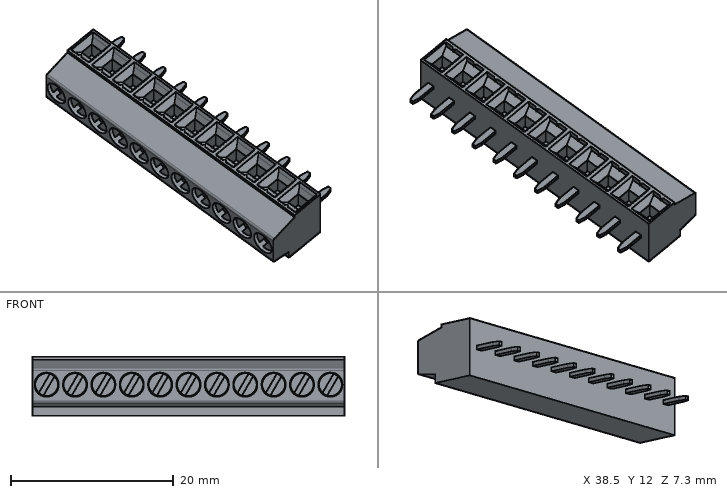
import cadquery as cq

pole_count = 11
length = 38.5
pitch = length / pole_count
body_depth = 8.5
height = 7.3
pole_positions = [(i - (pole_count - 1) / 2) * pitch for i in range(pole_count)]

top_land_depth = 4.65
top_step = 0.4
front_top_z = 5.9
bottom_land_depth = 5.7
bottom_step = 1.1
front_bottom_z = 1.58
front_edge_radius = 0.3

screw_z = 3.85
screw_bore_diameter = 3.0
screw_head_diameter = 2.8
screw_bore_depth = 1.55
screw_head_recess = 0.45
slot_width = 0.65
slot_depth = 0.77
slot_tilt = 30.0

rim_width = 2.93
rim_back_wall = 0.35
rim_front_wall = 0.42
break_depth = 0.45
break_back_inset = 0.27
break_front_inset = 0.15
funnel_depth = 1.15
throat_size = 1.8
throat_back_wall = 1.2
nub_width = 0.5
nub_length = 0.25

pin_width = 0.9
pin_thickness = 0.5
pin_z = 3.8
pin_length = 3.5
pin_root = 0.4
pin_tip_length = 0.92
pin_tip_width = 0.45


def make_body():
    outline = [
        (body_depth, 0),
        (body_depth, height),
        (body_depth - top_land_depth, height),
        (body_depth - top_land_depth, height - top_step),
        (0, front_top_z),
        (0, front_bottom_z),
        (body_depth - bottom_land_depth, bottom_step),
        (body_depth - bottom_land_depth, 0),
    ]
    profile = cq.Workplane("YZ").workplane(offset=-length / 2).polyline(outline).close()
    return profile.extrude(length).faces("<Y").edges("|X").fillet(front_edge_radius)


def frustum(top_z, top, bottom_z, bottom):
    """Loft between two rectangles given as (width, front Y, back Y)."""
    def corners(z, section):
        width, front, back = section
        return [
            cq.Vector(-width / 2, front, z),
            cq.Vector(width / 2, front, z),
            cq.Vector(width / 2, back, z),
            cq.Vector(-width / 2, back, z),
        ]
    wires = [
        cq.Wire.makePolygon(corners(top_z, top), close=True),
        cq.Wire.makePolygon(corners(bottom_z, bottom), close=True),
    ]
    return cq.Workplane(obj=cq.Solid.makeLoft(wires, True))


def make_funnel():
    rim_front = body_depth - top_land_depth + rim_front_wall
    rim_back = body_depth - rim_back_wall
    throat_back = body_depth - throat_back_wall
    throat_front = throat_back - throat_size
    funnel_z = height - funnel_depth
    floor_z = pin_z + pin_thickness / 2

    rim = (rim_width, rim_front, rim_back)
    throat = (throat_size, throat_front, throat_back)
    break_width = rim_width + (throat_size - rim_width) * break_depth / funnel_depth
    break_line = (break_width, rim_front + break_front_inset, rim_back - break_back_inset)
    break_z = height - break_depth
    steep_part = frustum(height, rim, break_z, break_line)
    flatter_part = frustum(break_z, break_line, funnel_z, throat)
    well = frustum(funnel_z, throat, floor_z, throat)
    nub = (
        cq.Workplane("XY").workplane(offset=funnel_z)
        .polyline([(-nub_width / 2, rim_front), (0, rim_front + nub_length), (nub_width / 2, rim_front)])
        .close().extrude(funnel_depth)
    )
    return steep_part.union(flatter_part).union(well).clean().cut(nub)


def make_screw_recess():
    """Tool that leaves a slotted screw head standing inside its bore, set back from the front face."""
    front = cq.Workplane("XZ", origin=(0, 0, screw_z))
    bore = front.circle(screw_bore_diameter / 2).extrude(-screw_bore_depth)
    head = (
        front.workplane(offset=-screw_head_recess).circle(screw_head_diameter / 2)
        .extrude(screw_head_recess - screw_bore_depth)
    )
    slot = (
        front.workplane(offset=-screw_head_recess).rect(slot_width, screw_bore_diameter)
        .extrude(-slot_depth)
        .rotate((0, 0, screw_z), (0, 1, screw_z), slot_tilt)
    )
    return bore.cut(head.cut(slot))


def make_pin():
    tip_y = body_depth + pin_length
    shoulder_y = tip_y - pin_tip_length
    outline = [
        (-pin_width / 2, body_depth - pin_root),
        (pin_width / 2, body_depth - pin_root),
        (pin_width / 2, shoulder_y),
        (pin_tip_width / 2, tip_y),
        (-pin_tip_width / 2, tip_y),
        (-pin_width / 2, shoulder_y),
    ]
    plane = cq.Workplane("XY").workplane(offset=pin_z - pin_thickness / 2)
    return plane.polyline(outline).close().extrude(pin_thickness)


funnel = make_funnel()
screw_recess = make_screw_recess()
pin = make_pin()

result = make_body()
for x in pole_positions:
    place = (x, 0, 0)
    result = result.cut(funnel.translate(place)).cut(screw_recess.translate(place)).union(pin.translate(place))